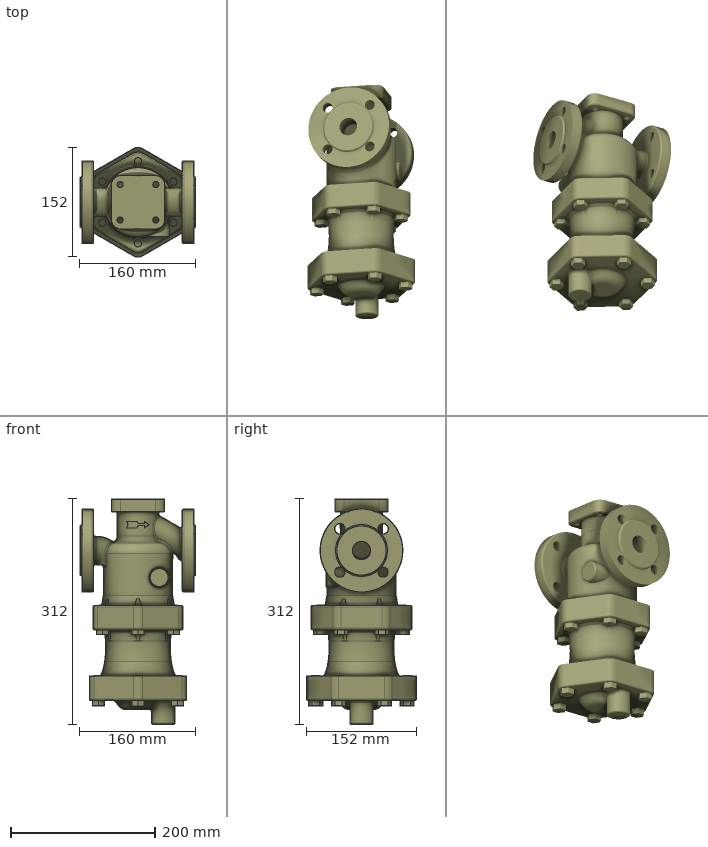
import cadquery as cq
import math

total_height = 312.0

joint_overlap = 1.5

plate_side = 74.0
plate_thickness = 18.0
plate_corner_radius = 12.5
plate_edge_break = 1.2
plate_hole_spacing = 49.3
plate_hole_diameter = 8.5

neck_radius = 29.0
neck_base_z = 261.0
shoulder_hollow_radius = 9.7
shoulder_round_radius = 15.3
barrel_radius = 48.0
barrel_base_z = 178.5
barrel_skirt_radius = 50.0
barrel_skirt_z = 167.5
barrel_foot_radius = 53.0

waist_radius = 45.3
waist_top_z = 115.5
waist_top_skirt_radius = 46.2
waist_top_skirt_z = 127.5
waist_foot_radius = 49.5
waist_middle_z = 104.5
waist_middle_radius = 45.0
waist_flare_start_z = 87.5
waist_flare_start_radius = 46.2
waist_flare_end_z = 69.5
waist_flare_end_radius = 51.0
waist_lower_foot_radius = 54.5

hex_corner_radius = 12.5
hex_edge_round = 2.2
upper_hex_across_corners = 139.8
upper_hex_top_z = 164.8
upper_hex_bottom_z = 131.0
lower_hex_across_corners = 152.0
lower_hex_top_z = 66.8
lower_hex_bottom_z = 33.0

bolt_count = 6
bolt_end_height = 1.0
bolt_head_across_flats = 17.0
upper_bolt_circle_radius = 56.8
upper_bolt_diameter = 10.0
upper_bolt_head_height = 7.0
lower_bolt_circle_radius = 63.5
lower_bolt_diameter = 12.0
lower_bolt_head_height = 7.5
spotface_radius_above = 8.0
spotface_radius_below = 11.5
spotface_height_above = 12.5
spotface_height_below = 16.2

length_over_faces = 160.0
pipe_flange_z = 241.0
pipe_flange_diameter = 115.0
pipe_flange_thickness = 16.2
pipe_flange_edge_round = 2.5
raised_face_height = 2.5
raised_face_base_diameter = 71.8
raised_face_diameter = 68.0
bore_diameter = 25.0
bore_depth = 31.2
flange_hole_diameter = 14.0
flange_hole_circle_diameter = 85.0
flange_hole_count = 4
flange_hole_start_deg = 45.0

inlet_pipe_diameter = 39.3
inlet_straight_length = 3.7
inlet_bend_radius = 20.3
outlet_pipe_diameter = 39.0
outlet_slope_deg = 30.0
outlet_end_x = 65.5
outlet_end_z = 246.0
outlet_length = 56.2
outlet_overrun = 15.5
pipe_blend_radius = 3.0
flange_blend_radius = 2.5
blend_margin = 0.3

pipe_joint_far_x = 48.7
pipe_joint_half_width = 22.0
inlet_joint_near_x = 32.8
inlet_joint_low_z = 218.5
inlet_joint_high_z = 256.0
outlet_joint_near_x = 20.3
outlet_joint_low_z = 227.8
outlet_joint_high_z = 293.5

boss_x = 29.3
boss_z = 203.5
boss_diameter = 28.0
boss_face_y = -49.3
boss_chamfer = 1.5
boss_base_round = 1.0
boss_base_front_y = -47.0
boss_base_back_y = -18.7

arrow_z = 276.8
arrow_tail_x = -15.5
arrow_notch_x = -13.7
arrow_body_end_x = -1.2
arrow_stem_start_x = 0.0
arrow_head_x = 9.0
arrow_tip_x = 15.5
arrow_body_half_height = 4.5
arrow_stem_half_height = 1.5
arrow_relief = 0.5

pan_bottom_z = 20.5
pan_bottom_radius = 22.5
pan_foot_radius = 33.0
pan_bottom_round = 12.5
pan_blend_radius = 3.0
drain_x = 35.0
drain_diameter = 32.0
drain_end_round = 2.0


def disc(z, radius, height, x=0, y=0):
    """Vertical cylinder standing on height z."""
    return cq.Workplane("XY", origin=(x, y, z)).circle(radius).extrude(height)


def bolt_places(circle_radius):
    """Points on a circle, one at every corner of a hexagon."""
    places = []
    for index in range(bolt_count):
        angle = math.radians(90 + index * 360 / bolt_count)
        places.append((circle_radius * math.cos(angle), circle_radius * math.sin(angle)))
    return places


def hex_flange(across_corners, bottom_z, top_z):
    """Hexagonal prism whose rounded corners span across_corners along Y."""
    sharp_radius = across_corners / 2 + hex_corner_radius * (1 / math.cos(math.pi / 6) - 1)
    return (
        cq.Workplane("XY", origin=(0, 0, bottom_z))
        .polyline(bolt_places(sharp_radius))
        .close()
        .extrude(top_z - bottom_z)
        .edges("|Z")
        .fillet(hex_corner_radius)
        .faces("<Z")
        .edges()
        .fillet(hex_edge_round)
    )


def bolts(circle_radius, diameter, head_height, bottom_z, top_z):
    """Bolts with hexagonal heads below a flange and plain ends just above it."""
    head_corner_radius = bolt_head_across_flats / 2 / math.cos(math.pi / 6)
    head_outline = bolt_places(head_corner_radius)
    shank_length = top_z + bolt_end_height - bottom_z
    group = cq.Workplane("XY")
    for x, y in bolt_places(circle_radius):
        head = (
            cq.Workplane("XY", origin=(x, y, bottom_z - head_height))
            .polyline(head_outline)
            .close()
            .extrude(head_height)
        )
        group = group.add(disc(bottom_z, diameter / 2, shank_length, x, y)).add(head)
    return group.combine()


def spotfaces(z, radius, height):
    """Cutters clearing the body around the bolts of the upper flange."""
    group = cq.Workplane("XY")
    for x, y in bolt_places(upper_bolt_circle_radius):
        group = group.add(disc(z, radius, height, x, y))
    return group.combine()


def top_plate():
    return (
        cq.Workplane("XY", origin=(0, 0, total_height - plate_thickness))
        .rect(plate_side, plate_side)
        .extrude(plate_thickness)
        .edges("|Z")
        .fillet(plate_corner_radius)
        .faces("<Z")
        .edges()
        .chamfer(plate_edge_break)
    )


def top_plate_holes():
    return (
        cq.Workplane("XY", origin=(0, 0, total_height - plate_thickness))
        .rect(plate_hole_spacing, plate_hole_spacing, forConstruction=True)
        .vertices()
        .circle(plate_hole_diameter / 2)
        .extrude(plate_thickness)
    )


def upper_body():
    """Neck, S-shaped shoulder and barrel, turned about Z."""
    radii_sum = shoulder_hollow_radius + shoulder_round_radius
    centre_dx = neck_radius + radii_sum - barrel_radius
    shoulder_drop = math.sqrt(radii_sum**2 - centre_dx**2)
    shoulder_z = neck_base_z - shoulder_drop
    round_centre_x = barrel_radius - shoulder_round_radius
    round_share = shoulder_round_radius / radii_sum
    meet = (round_centre_x + centre_dx * round_share, shoulder_z + shoulder_drop * round_share)
    plate_bottom_z = total_height - plate_thickness
    return (
        cq.Workplane("XZ")
        .moveTo(0, plate_bottom_z)
        .lineTo(neck_radius, plate_bottom_z)
        .lineTo(neck_radius, neck_base_z)
        .tangentArcPoint(meet, relative=False)
        .tangentArcPoint((barrel_radius, shoulder_z), relative=False)
        .lineTo(barrel_radius, barrel_base_z)
        .lineTo(barrel_skirt_radius, barrel_skirt_z)
        .tangentArcPoint((barrel_foot_radius, upper_hex_top_z), relative=False)
        .lineTo(barrel_foot_radius, upper_hex_top_z - joint_overlap)
        .lineTo(0, upper_hex_top_z - joint_overlap)
        .close()
        .revolve(360, (0, 0), (0, 1))
        .rotate((0, 0, 0), (0, 0, 1), 90)
    )


def middle_body():
    """Waisted body that flares out towards the lower flange, turned about Z."""
    return (
        cq.Workplane("XZ")
        .moveTo(0, upper_hex_bottom_z + joint_overlap)
        .lineTo(waist_foot_radius, upper_hex_bottom_z + joint_overlap)
        .lineTo(waist_foot_radius, upper_hex_bottom_z)
        .lineTo(waist_top_skirt_radius, waist_top_skirt_z)
        .lineTo(waist_radius, waist_top_z)
        .threePointArc(
            (waist_middle_radius, waist_middle_z), (waist_flare_start_radius, waist_flare_start_z)
        )
        .tangentArcPoint((waist_flare_end_radius, waist_flare_end_z), relative=False)
        .tangentArcPoint((waist_lower_foot_radius, lower_hex_top_z), relative=False)
        .lineTo(waist_lower_foot_radius, lower_hex_top_z - joint_overlap)
        .lineTo(0, lower_hex_top_z - joint_overlap)
        .close()
        .revolve(360, (0, 0), (0, 1))
    )


def flange_inner_x():
    """Distance from the body axis to the inner face of a round flange."""
    return length_over_faces / 2 - raised_face_height - pipe_flange_thickness


def inlet_pipe():
    """Pipe leaving the -X flange and bending down into the barrel."""
    start_x = -flange_inner_x()
    bend_x = start_x + inlet_straight_length
    path = (
        cq.Workplane("XZ")
        .moveTo(start_x, pipe_flange_z)
        .lineTo(bend_x, pipe_flange_z)
        .tangentArcPoint((inlet_bend_radius, -inlet_bend_radius))
    )
    return (
        cq.Workplane("YZ", origin=(start_x, 0, pipe_flange_z))
        .circle(inlet_pipe_diameter / 2)
        .sweep(path)
    )


def outlet_pipe():
    """Straight pipe sloping from the neck down to the +X flange."""
    slope = math.radians(outlet_slope_deg)
    towards_neck = cq.Vector(-math.cos(slope), 0, math.sin(slope))
    start = cq.Vector(outlet_end_x, 0, outlet_end_z) - towards_neck * outlet_overrun
    pipe = cq.Solid.makeCylinder(
        outlet_pipe_diameter / 2, outlet_length + outlet_overrun, start, towards_neck
    )
    space_between_flanges = (
        cq.Workplane("XY", origin=(0, 0, pipe_flange_z))
        .box(2 * flange_inner_x(), pipe_flange_diameter, pipe_flange_diameter)
    )
    return cq.Workplane(obj=pipe).intersect(space_between_flanges)


def pipe_flange(side):
    """Round flange with a raised face, side = -1 for -X and +1 for +X."""
    plane = cq.Plane(
        origin=(side * flange_inner_x(), 0, pipe_flange_z), xDir=(0, 1, 0), normal=(side, 0, 0)
    )
    body = (
        cq.Workplane(plane)
        .circle(pipe_flange_diameter / 2)
        .extrude(pipe_flange_thickness)
        .edges("<X" if side > 0 else ">X")
        .fillet(pipe_flange_edge_round)
    )
    raised_face = (
        cq.Workplane(plane)
        .workplane(offset=pipe_flange_thickness)
        .circle(raised_face_base_diameter / 2)
        .workplane(offset=raised_face_height)
        .circle(raised_face_diameter / 2)
        .loft()
    )
    holes = (
        cq.Workplane(plane)
        .polarArray(flange_hole_circle_diameter / 2, flange_hole_start_deg, 360, flange_hole_count)
        .circle(flange_hole_diameter / 2)
        .extrude(pipe_flange_thickness)
    )
    return body.union(raised_face).cut(holes)


def pipe_bore(side):
    """Blind bore entering a round flange from its outer face."""
    plane = cq.Plane(
        origin=(side * length_over_faces / 2, 0, pipe_flange_z), xDir=(0, 1, 0), normal=(-side, 0, 0)
    )
    return cq.Workplane(plane).circle(bore_diameter / 2).extrude(bore_depth)


def plug_boss():
    return (
        cq.Workplane("XZ", origin=(boss_x, 0, boss_z))
        .circle(boss_diameter / 2)
        .extrude(-boss_face_y)
        .faces("<Y")
        .edges()
        .chamfer(boss_chamfer)
    )


def flow_arrow():
    """Thin raised arrow wrapped on the neck, pointing to +X."""
    upper_half = [
        (arrow_tail_x, arrow_body_half_height),
        (arrow_body_end_x, arrow_body_half_height),
        (arrow_stem_start_x, arrow_stem_half_height),
        (arrow_head_x, arrow_stem_half_height),
        (arrow_head_x, arrow_body_half_height),
    ]
    lower_half = [(x, -height) for x, height in reversed(upper_half)]
    prism = (
        cq.Workplane("XZ", origin=(0, 0, arrow_z))
        .polyline([(arrow_notch_x, 0)] + upper_half + [(arrow_tip_x, 0)] + lower_half)
        .close()
        .extrude(2 * neck_radius)
    )
    sleeve_bottom_z = arrow_z - neck_radius / 2
    return prism.intersect(disc(sleeve_bottom_z, neck_radius + arrow_relief, neck_radius))


def bottom_pan():
    """Conical pan with a rounded bottom edge, turned about Z."""
    return (
        cq.Workplane("XZ")
        .moveTo(0, lower_hex_bottom_z + joint_overlap)
        .lineTo(pan_foot_radius, lower_hex_bottom_z + joint_overlap)
        .lineTo(pan_foot_radius, lower_hex_bottom_z)
        .lineTo(pan_bottom_radius, pan_bottom_z)
        .lineTo(0, pan_bottom_z)
        .close()
        .revolve(360, (0, 0), (0, 1))
        .faces("<Z")
        .edges()
        .fillet(pan_bottom_round)
    )


def drain_pipe():
    return (
        disc(0, drain_diameter / 2, lower_hex_bottom_z + joint_overlap, drain_x)
        .faces("<Z")
        .edges()
        .fillet(drain_end_round)
    )


def box_selector(low_corner, high_corner):
    """Select the edges that lie wholly inside the given box."""
    return cq.selectors.BoxSelector(low_corner, high_corner, boundingbox=True)


def blend_pipe_to_flange(body, side):
    """Fillet the ring where a pipe meets the inner face of its round flange."""
    ring_x = side * flange_inner_x()
    reach = raised_face_base_diameter / 2
    low_corner = (ring_x - blend_margin, -reach, pipe_flange_z - reach)
    high_corner = (ring_x + blend_margin, reach, pipe_flange_z + reach)
    return body.edges(box_selector(low_corner, high_corner)).fillet(flange_blend_radius)


casting = upper_body().union(inlet_pipe()).union(outlet_pipe())
inlet_joint = box_selector(
    (-pipe_joint_far_x - 6.2, -pipe_joint_half_width, inlet_joint_low_z),
    (-inlet_joint_near_x, pipe_joint_half_width, inlet_joint_high_z),
)
casting = casting.edges(inlet_joint).fillet(pipe_blend_radius)
outlet_joint = box_selector(
    (outlet_joint_near_x, -pipe_joint_half_width, outlet_joint_low_z),
    (pipe_joint_far_x, pipe_joint_half_width, outlet_joint_high_z),
)
casting = casting.edges(outlet_joint).fillet(pipe_blend_radius)

for side in (-1, 1):
    casting = casting.union(pipe_flange(side))
    casting = blend_pipe_to_flange(casting, side)
    casting = casting.cut(pipe_bore(side))

casting = casting.union(plug_boss())
boss_reach = boss_diameter / 2 + 2 * boss_base_round
boss_joint = box_selector(
    (boss_x - boss_reach, boss_base_front_y, boss_z - boss_reach),
    (boss_x + boss_reach, boss_base_back_y, boss_z + boss_reach),
)
casting = casting.edges(boss_joint).fillet(boss_base_round)
casting = casting.union(flow_arrow())
casting = casting.union(top_plate()).cut(top_plate_holes())

upper_flange = (
    hex_flange(upper_hex_across_corners, upper_hex_bottom_z, upper_hex_top_z)
    .faces(">Z")
    .edges()
    .fillet(hex_edge_round)
)
casting = casting.union(upper_flange)
casting = casting.cut(spotfaces(upper_hex_top_z, spotface_radius_above, spotface_height_above))

spotface_below_z = upper_hex_bottom_z - spotface_height_below
lower_casting = middle_body().cut(
    spotfaces(spotface_below_z, spotface_radius_below, spotface_height_below)
)

lower_flange = hex_flange(lower_hex_across_corners, lower_hex_bottom_z, lower_hex_top_z)
lower_flange = lower_flange.union(bottom_pan().union(drain_pipe()))
drain_far_x = drain_x + drain_diameter / 2 + blend_margin
pan_reach = pan_foot_radius + blend_margin
foot_top_z = lower_hex_bottom_z + blend_margin
flange_joint = box_selector(
    (-pan_reach, -pan_reach, lower_hex_bottom_z - blend_margin), (drain_far_x, pan_reach, foot_top_z)
)
pan_joint = box_selector(
    (0, -drain_diameter / 2, pan_bottom_z - blend_margin), (drain_far_x, drain_diameter / 2, foot_top_z)
)
lower_flange = lower_flange.edges(flange_joint + pan_joint).fillet(pan_blend_radius)
lower_casting = lower_casting.union(lower_flange)

upper_bolts = bolts(
    upper_bolt_circle_radius, upper_bolt_diameter, upper_bolt_head_height, upper_hex_bottom_z, upper_hex_top_z
)
lower_bolts = bolts(
    lower_bolt_circle_radius, lower_bolt_diameter, lower_bolt_head_height, lower_hex_bottom_z, lower_hex_top_z
)
result = casting.union(lower_casting).union(upper_bolts).union(lower_bolts)